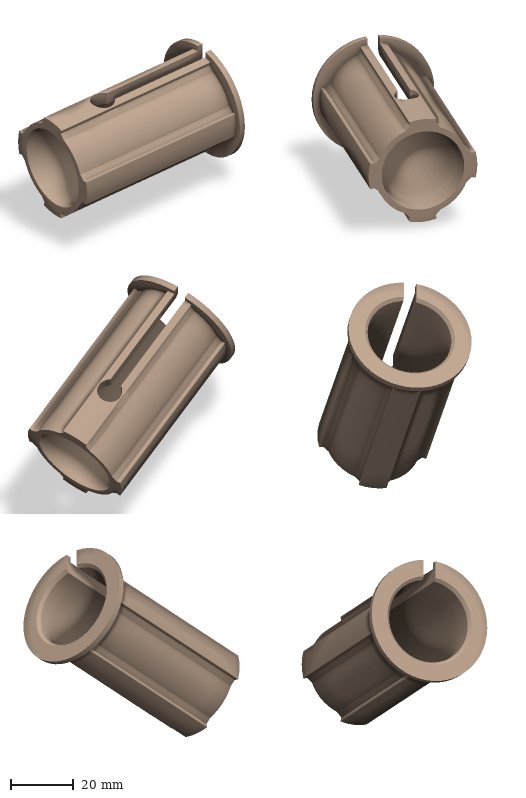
import cadquery as cq
import math

length = 62.0
flange_diameter = 40.0
flange_thickness = 2.0
bore_diameter = 27.2
bore_chamfer = 1.0

lobe_radius = 18.0
body_radius = 15.5
neck_radius = 16.6
lobe_half_angle = 14.8
foot_half_angle = 21.8
lobe_count = 4
lobe_corner_radius = 0.25

slot_width = 4.0
keyhole_diameter = 8.0
keyhole_distance = 42.0

flange_face_y = length / 2
plain_end_y = -length / 2
keyhole_y = flange_face_y - keyhole_distance


def polar(radius, angle):
    """Point at an angle in degrees from the centre line of a lobe."""
    turn = math.radians(angle)
    return radius * math.sin(turn), radius * math.cos(turn)


def plain_end_plane():
    """Plane on the plain end whose normal points toward the flange."""
    return cq.Plane(origin=(0, plain_end_y, 0), xDir=(1, 0, 0), normal=(0, 1, 0))


def fluted_body():
    pitch = 360 / lobe_count
    outline = cq.Workplane(plain_end_plane()).moveTo(*polar(body_radius, -foot_half_angle))
    for index in range(lobe_count):
        center = index * pitch
        outline = (
            outline.lineTo(*polar(neck_radius, center - lobe_half_angle))
            .lineTo(*polar(lobe_radius, center - lobe_half_angle))
            .threePointArc(polar(lobe_radius, center), polar(lobe_radius, center + lobe_half_angle))
            .lineTo(*polar(neck_radius, center + lobe_half_angle))
            .lineTo(*polar(body_radius, center + foot_half_angle))
            .threePointArc(
                polar(body_radius, center + pitch / 2),
                polar(body_radius, center + pitch - foot_half_angle),
            )
        )
    body = outline.close().extrude(length)

    def is_lobe_corner(edge):
        middle = edge.Center()
        return math.isclose(math.hypot(middle.x, middle.z), lobe_radius, abs_tol=0.005)

    corners = body.edges("|Y").vals()
    corners = [edge for edge in corners if is_lobe_corner(edge)]
    return body.newObject(corners).fillet(lobe_corner_radius)


def flange():
    return (
        cq.Workplane(plain_end_plane())
        .workplane(offset=length - flange_thickness)
        .circle(flange_diameter / 2)
        .extrude(flange_thickness)
    )


def bore():
    """Through bore, opening out in a 45 degree chamfer at the flange face."""
    bore_radius = bore_diameter / 2
    mouth_radius = bore_radius + bore_chamfer
    half_section = [
        (0, plain_end_y),
        (bore_radius, plain_end_y),
        (bore_radius, flange_face_y - bore_chamfer),
        (mouth_radius, flange_face_y),
        (0, flange_face_y),
    ]
    return cq.Workplane("XY").polyline(half_section).close().revolve(360, (0, 0), (0, 1))


def keyhole():
    """Slot open at the flange face, ending in a round hole; cuts the top wall only."""
    slot = (
        cq.Workplane("XY")
        .center(0, (keyhole_y + flange_face_y) / 2)
        .rect(slot_width, keyhole_distance)
        .extrude(flange_diameter)
    )
    hole = (
        cq.Workplane("XY")
        .center(0, keyhole_y)
        .circle(keyhole_diameter / 2)
        .extrude(flange_diameter)
    )
    return slot.union(hole)


result = fluted_body().union(flange()).cut(bore()).cut(keyhole())